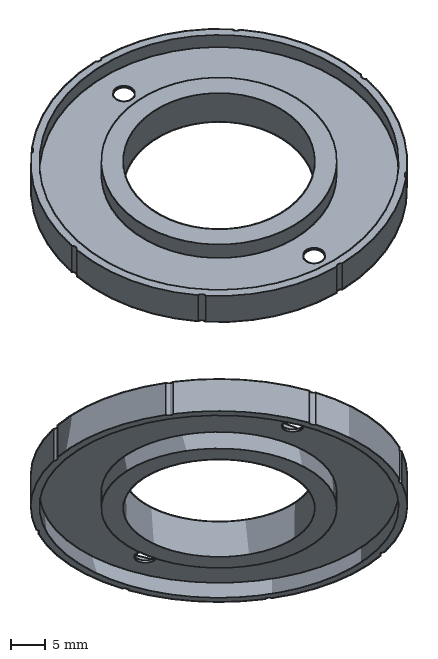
import cadquery as cq

outer_diameter = 54.85
rim_inner_diameter = 52.3
hub_diameter = 34.3
bore_diameter = 27.9
hub_height = 6.0
rim_height = 5.45

web_thickness = 0.4

pin_hole_diameter = 3.2
pin_hole_spacing = 43.3

groove_count = 8
groove_diameter = 1.4
groove_depth = 0.3


def disc(diameter, height):
    """Disc on the Z axis, centred on the mid-plane."""
    return cq.Workplane("XY", origin=(0, 0, -height / 2)).circle(diameter / 2).extrude(height)


def edge_grooves():
    """Cylinders that cut the grooves evenly around the outer wall."""
    centre_radius = outer_diameter / 2 + groove_diameter / 2 - groove_depth
    return (
        cq.Workplane("XY")
        .polarArray(centre_radius, 0, 360, groove_count)
        .circle(groove_diameter / 2)
        .extrude(rim_height, both=True)
    )


def pin_holes():
    """Cylinders for the two web holes, on the X axis."""
    return (
        cq.Workplane("XY")
        .rarray(pin_hole_spacing, 0.55, 2, 1)
        .circle(pin_hole_diameter / 2)
        .extrude(hub_height, both=True)
    )


rim = disc(outer_diameter, rim_height).cut(disc(rim_inner_diameter, rim_height))
web = disc(rim_inner_diameter, web_thickness)
hub = disc(hub_diameter, hub_height)

result = (
    rim.union(web)
    .union(hub)
    .cut(disc(bore_diameter, hub_height))
    .cut(pin_holes())
    .cut(edge_grooves())
)